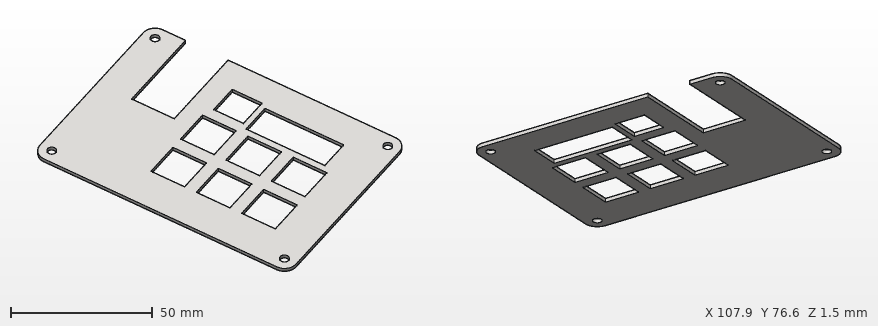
import cadquery as cq

length = 107.9
width = 76.6
thickness = 1.5
corner_radius = 5.0

screw_hole_diameter = 3.5

notch_width = 17.9
notch_depth = 34.8
notch_left_margin = 14.6

key_size = 14.1
key_pitch = 19.1
key_columns = 3
key_rows = 2
key_grid_center_x = 12.1
key_grid_center_y = -6.2

knob_length = 12.5
knob_width = 12.0
knob_center_x = -6.0
knob_center_y = 20.9

display_length = 33.1
display_width = 12.2
display_center_x = 19.1
display_center_y = 19.2


def rectangular_cutter(size_x, size_y, center_x, center_y):
    """Block that cuts a rectangle through the full plate thickness."""
    return (
        cq.Workplane("XY")
        .center(center_x, center_y)
        .rect(size_x, size_y)
        .extrude(thickness)
    )


plate = (
    cq.Workplane("XY")
    .rect(length, width)
    .extrude(thickness)
    .edges("|Z")
    .fillet(corner_radius)
)

plate = (
    plate.faces(">Z")
    .workplane(origin=(0, 0, thickness))
    .rect(length - 2 * corner_radius, width - 2 * corner_radius, forConstruction=True)
    .vertices()
    .hole(screw_hole_diameter)
)

notch_center_x = -length / 2 + notch_left_margin + notch_width / 2
notch_center_y = width / 2 - notch_depth / 2
plate = plate.cut(rectangular_cutter(notch_width, notch_depth, notch_center_x, notch_center_y))

for column in range(key_columns):
    for row in range(key_rows):
        key_x = key_grid_center_x + (column - (key_columns - 1) / 2) * key_pitch
        key_y = key_grid_center_y + (row - (key_rows - 1) / 2) * key_pitch
        plate = plate.cut(rectangular_cutter(key_size, key_size, key_x, key_y))

plate = plate.cut(rectangular_cutter(knob_length, knob_width, knob_center_x, knob_center_y))
plate = plate.cut(
    rectangular_cutter(display_length, display_width, display_center_x, display_center_y)
)

result = plate